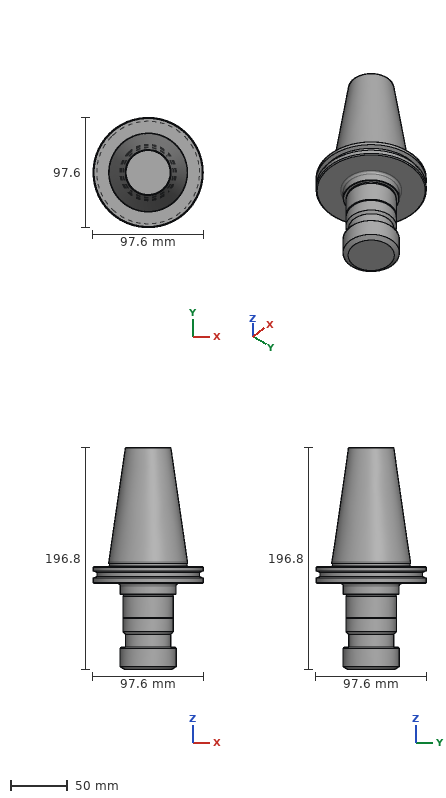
import cadquery as cq

total_height = 196.8

nut_radius = 25.0
nut_height = 20.0
nut_nose_radius = 20.5
nut_nose_height = 2.8
nut_top_chamfer = 1.2

neck_radius = 20.0
shank_bottom = 31.3
shank_radius = 22.5
shank_chamfer = shank_radius - neck_radius
ring_groove_bottom = 45.3
ring_groove_width = 1.0
ring_groove_depth = 0.4

collar_bottom = 66.7
collar_radius = 24.8
collar_chamfer = 0.4
relief_height = 1.8
relief_depth = 0.4
collar_fillet = 2.2

flange_radius = 48.8
flange_bottom = 76.1
flange_top = 91.5
flange_chamfer = 1.0
v_groove_middle = 84.2
v_groove_floor_radius = 45.5
v_groove_floor_width = 3.5
v_groove_mouth_width = 6.5

undercut_radius = 34.5
undercut_chamfer = 0.4
undercut_top = 94.0
taper_radius = 34.92
taper_bottom = 95.2
taper_top_radius = 20.3
taper_top_chamfer = 0.8


def revolve_profile(profile):
    """Turn a closed radius-height outline a full revolution about Z."""
    return profile.close().revolve(360, (0, 0, 0), (0, 1, 0))


def add_shank(profile):
    """Outline the neck, the chamfered shank and its narrow ring groove."""
    ring_groove_top = ring_groove_bottom + ring_groove_width
    ring_groove_radius = shank_radius - ring_groove_depth
    return (
        profile.lineTo(neck_radius, nut_height)
        .lineTo(neck_radius, shank_bottom)
        .lineTo(shank_radius, shank_bottom + shank_chamfer)
        .lineTo(shank_radius, ring_groove_bottom)
        .lineTo(ring_groove_radius, ring_groove_bottom)
        .lineTo(ring_groove_radius, ring_groove_top)
        .lineTo(shank_radius, ring_groove_top)
    )


def add_collar(profile):
    """Outline the relief under the collar, the collar and its fillet into the flange."""
    relief_radius = shank_radius - relief_depth
    return (
        profile.lineTo(shank_radius, collar_bottom - relief_height)
        .lineTo(relief_radius, collar_bottom - relief_height + relief_depth)
        .lineTo(relief_radius, collar_bottom)
        .lineTo(collar_radius - collar_chamfer, collar_bottom)
        .lineTo(collar_radius, collar_bottom + collar_chamfer)
        .lineTo(collar_radius, flange_bottom - collar_fillet)
        .radiusArc((collar_radius + collar_fillet, flange_bottom), collar_fillet)
    )


def add_flange(profile):
    """Outline the two chamfered rims with the V-groove between them."""
    half_floor = v_groove_floor_width / 2
    half_mouth = v_groove_mouth_width / 2
    return (
        profile.lineTo(flange_radius - flange_chamfer, flange_bottom)
        .lineTo(flange_radius, flange_bottom + flange_chamfer)
        .lineTo(flange_radius, v_groove_middle - half_mouth)
        .lineTo(v_groove_floor_radius, v_groove_middle - half_floor)
        .lineTo(v_groove_floor_radius, v_groove_middle + half_floor)
        .lineTo(flange_radius, v_groove_middle + half_mouth)
        .lineTo(flange_radius, flange_top - flange_chamfer)
        .lineTo(flange_radius - flange_chamfer, flange_top)
    )


def add_taper(profile):
    """Outline the undercut and the steep taper up to its chamfered end face."""
    return (
        profile.lineTo(undercut_radius + undercut_chamfer, flange_top)
        .lineTo(undercut_radius, flange_top + undercut_chamfer)
        .lineTo(undercut_radius, undercut_top)
        .lineTo(taper_radius, undercut_top)
        .lineTo(taper_radius, taper_bottom)
        .lineTo(taper_top_radius, total_height - taper_top_chamfer)
        .lineTo(taper_top_radius - taper_top_chamfer, total_height)
        .lineTo(0, total_height)
    )


def make_holder():
    """Tool holder: neck, shank, collar, flange and taper in one turned body."""
    profile = cq.Workplane("XZ").moveTo(0, nut_height)
    for add_section in (add_shank, add_collar, add_flange, add_taper):
        profile = add_section(profile)
    return revolve_profile(profile)


def make_nut():
    """Clamping nut: a disc with a tapered nose, seated against the end of the neck."""
    profile = (
        cq.Workplane("XZ")
        .lineTo(nut_nose_radius, 0)
        .lineTo(nut_radius, nut_nose_height)
        .lineTo(nut_radius, nut_height - nut_top_chamfer)
        .lineTo(nut_radius - nut_top_chamfer, nut_height)
        .lineTo(0, nut_height)
    )
    return revolve_profile(profile)


holder = make_holder()
nut = make_nut()

result = cq.Compound.makeCompound([holder.val(), nut.val()])